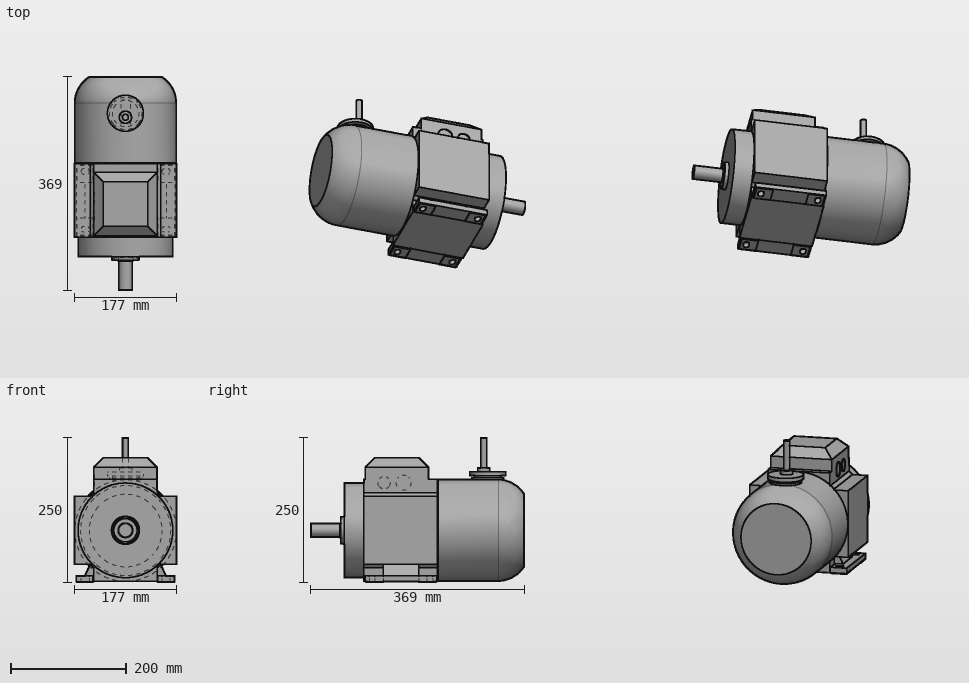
import cadquery as cq
import math


shaft_radius = 12.0
shaft_length = 50.0
shoulder_radius = 12.6
seal_front_y = 1.7
seal_base_radius = 24.2
seal_rim_radius = 23.2
seal_bore_radius = 20.2
seal_recess_depth = 5.0

shield_radius = 82.0
shield_front_y = 8.3

frame_front_y = 41.7
frame_length = 127.5
frame_rear_y = frame_front_y + frame_length
core_radius = 85.0
frame_half_size = 88.5
side_block_half_height = 59.0
tall_block_half_width = 55.0

cover_radius = 88.0
cover_gap = 1.0
cover_spigot_radius = 78.0
cover_rear_y = 319.0
cap_length = 45.0
cap_arc_radius = 53.0

box_front_y = 44.0
box_length = 110.0
box_eave_z = 109.0
box_bevel = 16.6
knockout_z = 82.8
knockout_depth = 1.0
knockouts = [(110.2, 13.0), (76.4, 10.7)]

shaft_height = 90.0
foot_thickness = 10.0
foot_pad_thickness = 1.3
foot_inner_x = 56.2
foot_outer_x = 85.2
foot_pad_outer_x = 84.2
foot_hole_x = 70.0
foot_hole_pitch = 100.0
foot_hole_first_y = 56.0
foot_hole_width = 10.0
foot_hole_length = 14.0
foot_end_margin = 12.0
pad_end_margin = 10.0
pad_length = 29.0
foot_web_top_x = 61.2
foot_web_bottom_x = 70.3

release_y = 256.2
lever_y = 249.2
release_base_z = 87.6
release_base_radius = 28.0
release_base_top_z = 91.2
release_neck_radius = 23.0
release_disc_bottom_z = 94.5
release_disc_radius = 31.2
release_disc_top_z = 101.4
lever_collar_radius = 10.7
lever_collar_top_z = 108.2
lever_radius = 5.25
lever_top_z = 160.0


def box_between(x_range, y_range, z_range):
    """Axis-aligned block spanning the given ranges."""
    size = [high - low for low, high in (x_range, y_range, z_range)]
    corner = (x_range[0], y_range[0], z_range[0])
    return cq.Workplane("XY").box(*size, centered=False).translate(corner)


def axial_cylinder(radius, front_y, rear_y):
    """Cylinder about the shaft axis."""
    plane = cq.Workplane("XZ", origin=(0, rear_y, 0))
    return plane.circle(radius).extrude(rear_y - front_y)


def upright_cylinder(radius, center_y, bottom_z, top_z):
    """Vertical cylinder on the centre plane X = 0."""
    plane = cq.Workplane("XY", origin=(0, center_y, bottom_z))
    return plane.circle(radius).extrude(top_z - bottom_z)


def make_shaft_end():
    """End shield, tapered seal ring with its recess, and the stepped shaft."""
    recess_floor_y = seal_front_y + seal_recess_depth
    seal_ring = (
        cq.Workplane("XY")
        .moveTo(0, shield_front_y)
        .lineTo(seal_base_radius, shield_front_y)
        .lineTo(seal_rim_radius, seal_front_y)
        .lineTo(seal_bore_radius, seal_front_y)
        .lineTo(seal_bore_radius, recess_floor_y)
        .lineTo(0, recess_floor_y)
        .close()
        .revolve(360, (0, 0, 0), (0, 1, 0))
    )
    shield = axial_cylinder(shield_radius, shield_front_y, frame_front_y)
    shoulder = axial_cylinder(shoulder_radius, 0, shield_front_y)
    shaft = axial_cylinder(shaft_radius, -shaft_length, 0)
    return shield.union(seal_ring).union(shoulder).union(shaft)


def make_frame():
    """Round core crossed by the side blocks and the tall centre block."""
    y_range = (frame_front_y, frame_rear_y)
    full_range = (-frame_half_size, frame_half_size)
    side_range = (-side_block_half_height, side_block_half_height)
    tall_range = (-tall_block_half_width, tall_block_half_width)
    core = axial_cylinder(core_radius, *y_range)
    side_blocks = box_between(full_range, y_range, side_range)
    tall_block = box_between(tall_range, y_range, full_range)
    return core.union(side_blocks).union(tall_block)


def make_brake_cover():
    """Revolved cover on a spigot that leaves a narrow gap to the frame.

    The cap arc is tangent to the cylindrical wall.
    """
    cover_front_y = frame_rear_y + cover_gap
    cap_start_y = cover_rear_y - cap_length
    arc_center_radius = cover_radius - cap_arc_radius
    end_angle = math.asin(cap_length / cap_arc_radius)

    def cap_point(angle):
        radius = arc_center_radius + cap_arc_radius * math.cos(angle)
        return (radius, cap_start_y + cap_arc_radius * math.sin(angle))

    return (
        cq.Workplane("XY")
        .moveTo(0, frame_rear_y)
        .lineTo(cover_spigot_radius, frame_rear_y)
        .lineTo(cover_spigot_radius, cover_front_y)
        .lineTo(cover_radius, cover_front_y)
        .lineTo(cover_radius, cap_start_y)
        .threePointArc(cap_point(end_angle / 2), cap_point(end_angle))
        .lineTo(0, cover_rear_y)
        .close()
        .revolve(360, (0, 0, 0), (0, 1, 0))
    )


def make_terminal_box():
    """Box on top of the frame with four 45-degree bevels around its lid."""
    x_range = (-tall_block_half_width, tall_block_half_width)
    y_range = (box_front_y, box_front_y + box_length)
    box = box_between(x_range, y_range, (0, box_eave_z + box_bevel))
    return box.faces(">Z").chamfer(box_bevel)


def make_knockout(center_y, radius):
    """Shallow disc cut into the -X wall for a cable entry."""
    plane = cq.Workplane("YZ", origin=(-tall_block_half_width, center_y, knockout_z))
    return plane.circle(radius).extrude(knockout_depth)


def make_foot():
    """Foot on the +X side: slotted plate, two ground pads and a web to the frame."""
    plate_bottom_z = foot_pad_thickness - shaft_height
    plate_top_z = plate_bottom_z + foot_thickness
    last_hole_y = foot_hole_first_y + foot_hole_pitch
    front_y = foot_hole_first_y - foot_end_margin
    rear_y = last_hole_y + foot_end_margin
    foot = box_between(
        (foot_inner_x, foot_outer_x), (front_y, rear_y), (plate_bottom_z, plate_top_z)
    )

    front_pad_y = foot_hole_first_y - pad_end_margin
    rear_pad_y = last_hole_y + pad_end_margin - pad_length
    for pad_y in (front_pad_y, rear_pad_y):
        pad = box_between(
            (foot_inner_x, foot_pad_outer_x),
            (pad_y, pad_y + pad_length),
            (-shaft_height, plate_bottom_z),
        )
        foot = foot.union(pad)

    web_front_y = front_pad_y + pad_length
    web = (
        cq.Workplane("XZ", origin=(0, rear_pad_y, 0))
        .moveTo(tall_block_half_width, plate_bottom_z)
        .lineTo(foot_inner_x, plate_bottom_z)
        .lineTo(foot_inner_x, plate_top_z)
        .lineTo(foot_web_bottom_x, plate_top_z)
        .lineTo(foot_web_top_x, -side_block_half_height)
        .lineTo(tall_block_half_width, -side_block_half_height)
        .close()
        .extrude(rear_pad_y - web_front_y)
    )
    foot = foot.union(web)

    holes = (
        cq.Workplane("XY", origin=(0, 0, -shaft_height))
        .pushPoints([(foot_hole_x, foot_hole_first_y), (foot_hole_x, last_hole_y)])
        .slot2D(foot_hole_length, foot_hole_width)
        .extrude(foot_pad_thickness + foot_thickness)
    )
    return foot.cut(holes)


def make_brake_release():
    """Stacked discs on top of the brake cover with the off-centre hand lever."""
    base = upright_cylinder(
        release_base_radius, release_y, release_base_z, release_base_top_z
    )
    neck = upright_cylinder(
        release_neck_radius, release_y, release_base_top_z, release_disc_bottom_z
    )
    disc = upright_cylinder(
        release_disc_radius, release_y, release_disc_bottom_z, release_disc_top_z
    )
    collar = upright_cylinder(
        lever_collar_radius, lever_y, release_disc_top_z, lever_collar_top_z
    )
    lever = upright_cylinder(lever_radius, lever_y, lever_collar_top_z, lever_top_z)
    return base.union(neck).union(disc).union(collar).union(lever)


motor = make_frame().union(make_shaft_end()).union(make_brake_cover())
motor = motor.union(make_terminal_box()).union(make_brake_release())
for knockout_y, knockout_radius in knockouts:
    motor = motor.cut(make_knockout(knockout_y, knockout_radius))

right_foot = make_foot()
motor = motor.union(right_foot).union(right_foot.mirror("YZ"))

result = motor